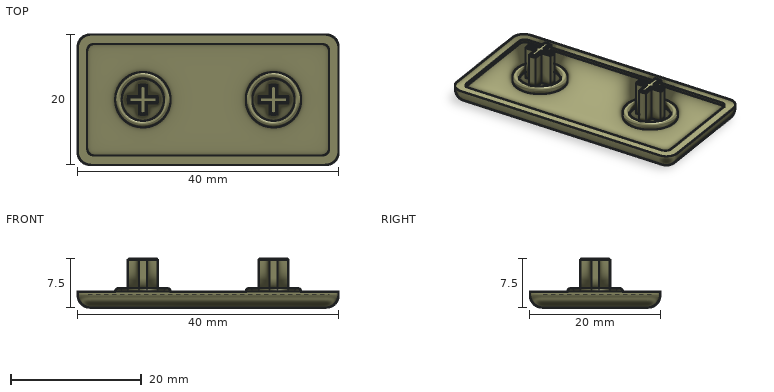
import cadquery as cq

length = 40.0
width = 20.0
plate_height = 2.5
edge_radius = 2.0

rim_width = 1.5
recess_depth = 0.5
recess_corner_radius = 1.0
floor_z = plate_height - recess_depth

ring_outer_diameter = 8.5
ring_inner_diameter = 6.5
ring_top_z = 3.0
ring_wall = (ring_outer_diameter - ring_inner_diameter) / 2
ring_crest_radius = (ring_outer_diameter + ring_inner_diameter) / 4
ring_shoulder_z = ring_top_z - ring_wall / 2

stem_spacing = 20.0
stem_top_z = 7.5
stem_diameter = 4.65
arm_along_x_thickness = 1.15
arm_along_y_thickness = 1.25
stem_chamfer = 0.25

overlap = 0.2


def make_plate():
    plate = (
        cq.Workplane("XY")
        .box(length, width, plate_height, centered=(True, True, False))
        .edges("|Z")
        .fillet(edge_radius)
        .faces("<Z")
        .edges()
        .fillet(edge_radius)
    )
    recess = (
        cq.Workplane("XY", origin=(0, 0, floor_z))
        .box(length - 2 * rim_width, width - 2 * rim_width, recess_depth, centered=(True, True, False))
        .edges("|Z")
        .fillet(recess_corner_radius)
    )
    return plate.cut(recess)


def make_ring():
    inner_radius = ring_inner_diameter / 2
    outer_radius = ring_outer_diameter / 2
    return (
        cq.Workplane("XZ")
        .moveTo(inner_radius, floor_z - overlap)
        .lineTo(outer_radius, floor_z - overlap)
        .lineTo(outer_radius, ring_shoulder_z)
        .threePointArc((ring_crest_radius, ring_top_z), (inner_radius, ring_shoulder_z))
        .close()
        .revolve(360, (0, 0, 0), (0, 1, 0))
    )


def make_stem():
    base_z = floor_z - overlap
    height = stem_top_z - base_z
    base = cq.Workplane("XY", origin=(0, 0, base_z))
    cross = (
        base.rect(stem_diameter, arm_along_x_thickness)
        .extrude(height)
        .union(base.rect(arm_along_y_thickness, stem_diameter).extrude(height))
    )
    envelope = base.circle(stem_diameter / 2).extrude(height)
    return cross.intersect(envelope).faces(">Z").chamfer(stem_chamfer)


result = make_plate()
for stem_x in (-stem_spacing / 2, stem_spacing / 2):
    result = result.union(make_ring().translate((stem_x, 0, 0)))
    result = result.union(make_stem().translate((stem_x, 0, 0)))